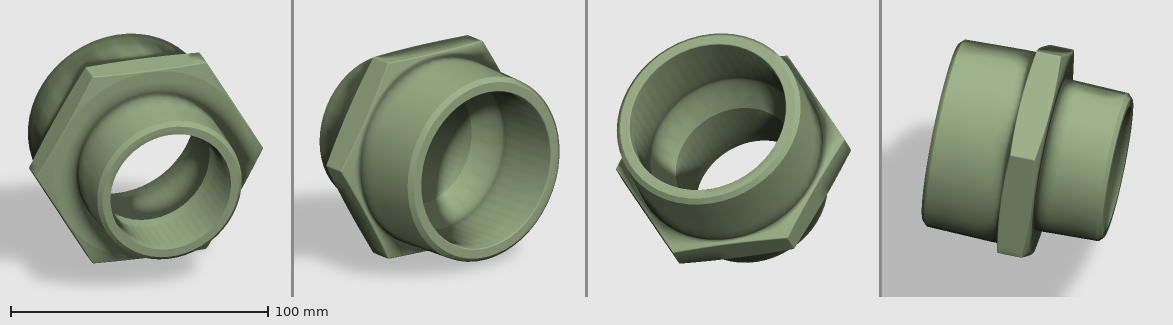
import cadquery as cq
import math

total_length = 70.0
large_taper_end = 26.7
hex_start = 31.2
hex_end = 43.5
small_taper_end = 46.5

large_diameter = 75.8
small_diameter = 60.1
large_end_chamfer = 1.75
small_end_chamfer = 1.7
taper = 1 / 16

large_bore = 63.0
small_bore = 49.0
bore_mouth_round = 0.5
large_bore_depth = 29.7
transition_round = 1.8
small_bore_start = 41.5

across_flats = 80.05
across_corners = 92.2
face_edge_round = 0.5
hex_root_round = 0.3
chamfer_circle = 79.0
chamfer_angle = math.radians(11)
cone_overshoot = 0.9


def outer_body():
    """Revolve the two tapered spigots joined through the hexagon."""
    large_radius = large_diameter / 2
    small_radius = small_diameter / 2
    large_tip = large_radius - taper / 2 * (large_taper_end - large_end_chamfer)
    small_run = total_length - small_end_chamfer - small_taper_end
    small_tip = small_radius - taper / 2 * small_run
    return (
        cq.Workplane("XY")
        .moveTo(0, 0)
        .lineTo(0, large_tip - large_end_chamfer)
        .lineTo(large_end_chamfer, large_tip)
        .lineTo(large_taper_end, large_radius)
        .lineTo(hex_start, large_radius)
        .lineTo(hex_end, small_radius)
        .lineTo(small_taper_end, small_radius)
        .lineTo(total_length - small_end_chamfer, small_tip)
        .lineTo(total_length, small_tip - small_end_chamfer)
        .lineTo(total_length, 0)
        .close()
        .revolve(360, (0, 0, 0), (1, 0, 0))
    )


def hexagon():
    """Hexagon with rounded corners, both faces chamfered by a shallow cone."""
    corner_diameter = across_flats / math.cos(math.pi / 6)
    corner_round = (corner_diameter - across_corners) / 2 / (1 / math.cos(math.pi / 6) - 1)
    prism = (
        cq.Workplane("YZ", origin=(hex_start, 0, 0))
        .polygon(6, corner_diameter)
        .extrude(hex_end - hex_start)
        .edges("|X")
        .fillet(corner_round)
    )
    circle_radius = chamfer_circle / 2
    outer_radius = corner_diameter / 2 + cone_overshoot
    setback = (outer_radius - circle_radius) * math.tan(chamfer_angle)
    cones = (
        cq.Workplane("XY")
        .moveTo(hex_start, 0)
        .lineTo(hex_start, circle_radius)
        .lineTo(hex_start + setback, outer_radius)
        .lineTo(hex_end - setback, outer_radius)
        .lineTo(hex_end, circle_radius)
        .lineTo(hex_end, 0)
        .close()
        .revolve(360, (0, 0, 0), (1, 0, 0))
    )
    chamfered = prism.intersect(cones)
    return chamfered.edges("%HYPERBOLA or %BSPLINE").fillet(face_edge_round)


def root_ring(face_x, radius, direction):
    """Ring with a concave quarter-round between a spigot and a hexagon face."""
    outer_radius = radius + hex_root_round
    outer_x = face_x + direction * hex_root_round
    sagitta = hex_root_round * (1 - math.sqrt(0.5))
    return (
        cq.Workplane("XY")
        .moveTo(face_x, radius - hex_root_round)
        .lineTo(face_x, outer_radius)
        .threePointArc((face_x + direction * sagitta, radius + sagitta), (outer_x, radius))
        .lineTo(outer_x, radius - hex_root_round)
        .close()
        .revolve(360, (0, 0, 0), (1, 0, 0))
    )


def passage():
    """Wide bore, conical transition with a rounded start, and narrow bore."""
    bore_radius = large_bore / 2
    cut = (
        cq.Workplane("XY")
        .moveTo(0, 0)
        .lineTo(0, bore_radius)
        .lineTo(large_bore_depth, bore_radius)
        .lineTo(small_bore_start, small_bore / 2)
        .lineTo(total_length, small_bore / 2)
        .lineTo(total_length, 0)
        .close()
        .revolve(360, (0, 0, 0), (1, 0, 0))
    )
    transition_edge = cq.selectors.NearestToPointSelector((large_bore_depth, 0, 0))
    return cut.edges(transition_edge).fillet(transition_round)


result = (
    outer_body()
    .union(hexagon())
    .union(root_ring(hex_start, large_diameter / 2, -1))
    .union(root_ring(hex_end, small_diameter / 2, 1))
    .cut(passage())
)

mouth = cq.selectors.RadiusNthSelector(0)
result = result.faces("<X").edges(mouth).fillet(bore_mouth_round)